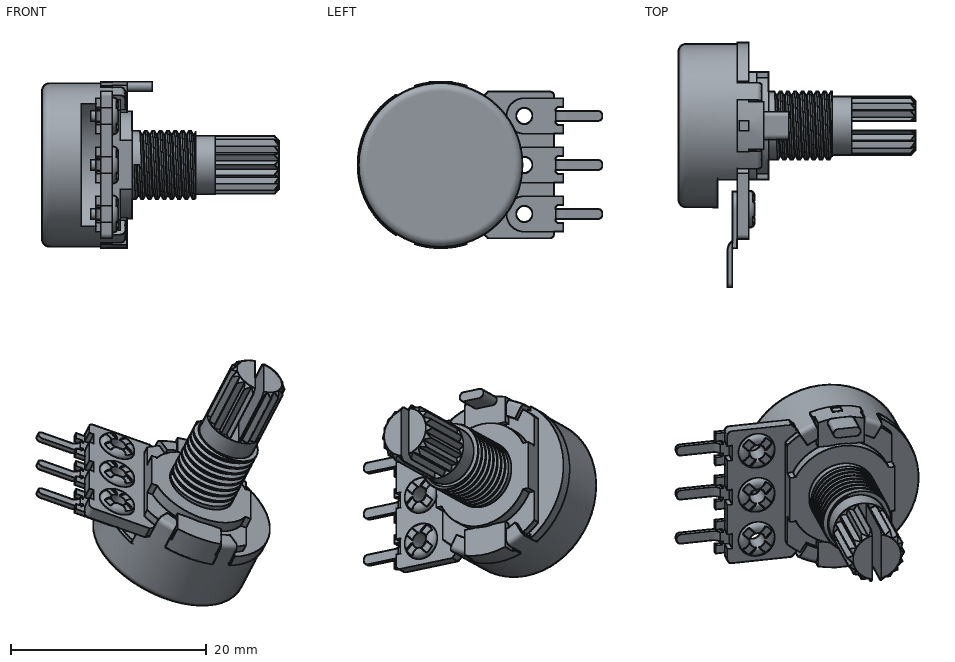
import cadquery as cq
import math


can_radius = 8.35
can_depth = 6
can_wall = 0.5
can_edge_radius = 0.8
window_start = 4
window_half_height = 6.25

board_back = can_depth
board_thickness = 1.2
board_front = board_back + board_thickness
rim_radius = 8.5
board_core_radius = can_radius - can_wall / 2
rim_start = 4.55
wing_half_width = 2.65
board_top_edge = -4.38
board_end = -11.58
board_half_height = 7.5
board_corner = 0.48
dimple_size = 1
dimple_depth = 0.1
end_notch_half_width = 0.82
end_notch_depth = 0.5

plate_front = 8
plate_half_width = 5.5
hub_front = 9.2
hub_radius = 5.5
hub_key_half_height = 2.5
bridge_front = 8.7
bridge_half_width = 2.42
bridge_underside = 5.4
lug_end = 11.28
lug_width = 2.85
lug_thickness = 1

tab_front = plate_front + can_wall
tab_fold_radius = 6.62
tab_start_angle = 18.3
tab_end_angle = 31.8

thread_radius = 3.5
thread_root_radius = 3.1
thread_pitch = 0.75
thread_end = 15.7
thread_start = 9.68
groove_half_width = 0.28
groove_root_half_width = 0.05
groove_overshoot = 0.1

shaft_radius = 3
shaft_end = 24.2
knurl_start = 17.7
knurl_count = 18
knurl_root_radius = 2.5
shaft_chamfer = shaft_radius - knurl_root_radius
slot_width = 0.95

terminal_pitch = 5
terminal_thickness = 0.5
terminal_back = board_back - terminal_thickness
terminal_half_width = 1.812
terminal_end = -12.52
rivet_y = -8.52
rivet_hole_radius = 0.812
notch_floor = -11.72
notch_half_width = 0.9
notch_chamfer = 0.2
pin_width = 1.05
pin_tip = -16.5
pin_bend_radius = 1.25
pin_bend_end = -12.75
rivet_radius = 1.9
rivet_height = 0.6
rivet_inner_round = 0.22
rivet_slot_width = 0.92
rivet_slot_depth = 0.2


def disc(radius, x_start, x_end):
    """Solid cylinder on the shaft axis between two X positions."""
    return cq.Workplane("YZ").workplane(offset=x_start).circle(radius).extrude(x_end - x_start)


def block(x_range, y_range, z_range):
    """Axis-aligned box given by its (min, max) along each axis."""
    sizes = [high - low for low, high in (x_range, y_range, z_range)]
    corner = (x_range[0], y_range[0], z_range[0])
    return cq.Workplane("XY").box(*sizes, centered=False).translate(corner)


def make_can():
    shell = disc(can_radius, 0, can_depth).faces("<X").edges().fillet(can_edge_radius)
    cavity = disc(can_radius - can_wall, can_wall, can_depth)
    cavity = cavity.faces("<X").edges().fillet(can_edge_radius - can_wall)
    window = block(
        (window_start, can_depth), (-can_radius, 0), (-window_half_height, window_half_height)
    )
    return shell.cut(cavity).cut(window)


def make_board():
    x_range = (board_back, board_front)
    outer = disc(rim_radius, *x_range)
    rim = outer.intersect(block(x_range, (rim_start, rim_radius), (-rim_radius, rim_radius)))
    wings = outer.intersect(
        block(x_range, (-wing_half_width, wing_half_width), (-rim_radius, rim_radius))
    )
    tail = block(x_range, (board_end, board_top_edge), (-board_half_height, board_half_height))
    tail = tail.edges("|X and <Y").fillet(board_corner)
    tail = tail.edges("|X and >Y").chamfer(board_corner)
    for position in (-1, 0, 1):
        notch = block(
            x_range,
            (board_end, board_end + end_notch_depth),
            (-end_notch_half_width, end_notch_half_width),
        )
        tail = tail.cut(notch.translate((0, 0, position * terminal_pitch)))
    board = disc(board_core_radius, *x_range).union(rim).union(wings).union(tail)
    dimple = block(
        (board_front - dimple_size, board_front),
        (-dimple_size / 2, dimple_size / 2),
        (rim_radius - dimple_depth, rim_radius),
    )
    return board.cut(dimple)


def make_bushing_plate():
    plate = disc(can_radius - can_wall, board_front, plate_front).intersect(
        block(
            (board_front, plate_front),
            (-plate_half_width, plate_half_width),
            (-rim_radius, rim_radius),
        )
    )
    bridge = disc(rim_radius, board_front, bridge_front).intersect(
        block(
            (board_front, bridge_front),
            (-bridge_half_width, bridge_half_width),
            (bridge_underside, rim_radius),
        )
    )
    bridges = bridge.union(bridge.mirror("XY"))
    hub = disc(hub_radius, plate_front, hub_front).union(
        block(
            (plate_front, hub_front),
            (-hub_radius, hub_radius),
            (-hub_key_half_height, hub_key_half_height),
        )
    )
    lug = (
        cq.Workplane("YZ")
        .workplane(offset=bridge_front)
        .center(0, rim_radius - lug_thickness / 2)
        .slot2D(lug_width, lug_thickness)
        .extrude(lug_end - bridge_front)
    )
    return plate.union(bridges).union(hub).union(lug)


def make_tabs():
    """Four can tabs that pass the board and fold inward over the bushing plate."""
    sleeve = disc(can_radius, board_back, tab_front).faces(">X").edges().fillet(can_wall)
    sleeve = sleeve.cut(disc(tab_fold_radius, board_back, tab_front))
    reach = 2 * can_radius
    corners = [(0, 0)]
    for angle in (tab_start_angle, tab_end_angle):
        turn = math.radians(angle)
        corners.append((reach * math.sin(turn), reach * math.cos(turn)))
    sector = (
        cq.Workplane("YZ")
        .workplane(offset=board_back)
        .polyline(corners)
        .close()
        .extrude(tab_front - board_back)
    )
    tab = sleeve.intersect(sector)
    pair = tab.union(tab.mirror("XZ"))
    return pair.union(pair.mirror("XY"))


def make_thread_groove():
    """Helical groove, built along Z and then turned onto the shaft axis."""
    flank_slope = (groove_half_width - groove_root_half_width) / (thread_radius - thread_root_radius)
    outer_radius = thread_radius + groove_overshoot
    outer_half_width = groove_half_width + groove_overshoot * flank_slope
    length = thread_end - thread_start + thread_pitch
    helix = cq.Wire.makeHelix(thread_pitch, length, thread_root_radius)
    groove = (
        cq.Workplane("XZ")
        .polyline(
            [
                (thread_root_radius, groove_root_half_width),
                (outer_radius, outer_half_width),
                (outer_radius, -outer_half_width),
                (thread_root_radius, -groove_root_half_width),
            ]
        )
        .close()
        .sweep(cq.Workplane(helix), isFrenet=True)
    )
    axis_start = (0, 0, 0)
    groove = groove.rotate(axis_start, (0, 1, 0), 90)
    groove = groove.rotate(axis_start, (1, 0, 0), -90)
    return groove.translate((thread_start, 0, 0))


def make_bushing():
    blank = disc(thread_radius, hub_front, thread_end + 2 * thread_pitch)
    threaded = blank.cut(make_thread_groove())
    return threaded.intersect(disc(thread_radius, hub_front, thread_end))


def make_shaft():
    smooth = disc(shaft_radius, hub_front, knurl_start)
    half_step = math.pi / knurl_count
    outline = []
    for i in range(2 * knurl_count):
        radius = knurl_root_radius if i % 2 else shaft_radius
        outline.append((radius * math.cos(i * half_step), radius * math.sin(i * half_step)))
    knurl = (
        cq.Workplane("YZ")
        .workplane(offset=knurl_start)
        .polyline(outline)
        .close()
        .extrude(shaft_end - knurl_start)
    )
    envelope = disc(shaft_radius, knurl_start, shaft_end).faces(">X").chamfer(shaft_chamfer)
    slot = block(
        (knurl_start, shaft_end),
        (-slot_width / 2, slot_width / 2),
        (-shaft_radius, shaft_radius),
    )
    return smooth.union(knurl.intersect(envelope).cut(slot))


def make_terminal():
    """Flat solder terminal with a notched end and a pin stepped back by its own thickness."""
    blade = (
        cq.Workplane("YZ")
        .workplane(offset=terminal_back)
        .moveTo(rivet_y, terminal_half_width)
        .threePointArc((rivet_y + terminal_half_width, 0), (rivet_y, -terminal_half_width))
        .lineTo(terminal_end, -terminal_half_width)
        .lineTo(terminal_end, terminal_half_width)
        .close()
        .extrude(terminal_thickness)
    )
    notch = block(
        (terminal_back, board_back), (terminal_end, notch_floor), (-notch_half_width, notch_half_width)
    )
    notch = notch.edges("|X and >Y").chamfer(notch_chamfer)

    pin_back = terminal_back - terminal_thickness
    bend_x = pin_back + pin_bend_radius
    inner_radius = pin_bend_radius - terminal_thickness

    def bend_point(radius, x):
        return (x, pin_bend_end + math.sqrt(radius**2 - (x - bend_x) ** 2))

    pin_middle = pin_back + terminal_thickness / 2
    pin_root = notch_floor + terminal_thickness
    pin = (
        cq.Workplane("XY")
        .workplane(offset=-pin_width / 2)
        .moveTo(board_back, pin_root)
        .lineTo(terminal_back, pin_root)
        .lineTo(*bend_point(pin_bend_radius, terminal_back))
        .threePointArc(bend_point(pin_bend_radius, pin_middle), (pin_back, pin_bend_end))
        .lineTo(pin_back, pin_tip)
        .lineTo(terminal_back, pin_tip)
        .lineTo(terminal_back, pin_bend_end)
        .threePointArc(
            bend_point(inner_radius, terminal_back + terminal_thickness / 2),
            bend_point(inner_radius, board_back),
        )
        .close()
        .extrude(pin_width)
        .edges("|X and <Y")
        .fillet(0.45 * pin_width)
    )
    return blade.cut(notch).union(pin)


def make_rivet():
    """Domed eyelet head whose crown is split by a diagonal cross of slots."""
    top = board_front + rivet_height
    inner = rivet_hole_radius
    diagonal = math.sqrt(0.5)
    head = (
        cq.Workplane("XY")
        .moveTo(board_front, inner)
        .lineTo(top - rivet_inner_round, inner)
        .threePointArc(
            (top - rivet_inner_round * (1 - diagonal), inner + rivet_inner_round * (1 - diagonal)),
            (top, inner + rivet_inner_round),
        )
        .lineTo(top, rivet_radius - rivet_height)
        .threePointArc(
            (board_front + rivet_height * diagonal, rivet_radius - rivet_height * (1 - diagonal)),
            (board_front, rivet_radius),
        )
        .close()
        .revolve(360, (0, 0, 0), (1, 0, 0))
    )
    slot = block(
        (top - rivet_slot_depth, top),
        (-rivet_slot_width / 2, rivet_slot_width / 2),
        (-rivet_radius, rivet_radius),
    )
    for angle in (45, -45):
        head = head.cut(slot.rotate((0, 0, 0), (1, 0, 0), angle))
    return head.translate((0, rivet_y, 0))


def rivet_hole():
    return disc(rivet_hole_radius, terminal_back, bridge_front).translate((0, rivet_y, 0))


result = make_can().union(make_board()).union(make_bushing_plate()).union(make_tabs())
result = result.union(make_bushing()).union(make_shaft())

terminal = make_terminal()
rivet = make_rivet()
for position in (-1, 0, 1):
    offset = (0, 0, position * terminal_pitch)
    result = result.union(terminal.translate(offset)).union(rivet.translate(offset))
    result = result.cut(rivet_hole().translate(offset))